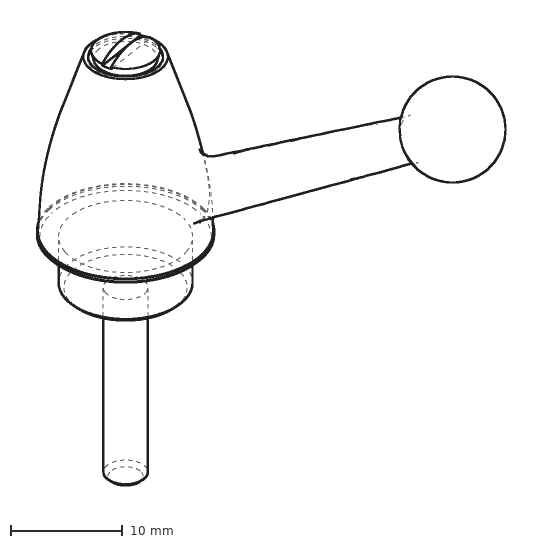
import cadquery as cq
import math

stud_diameter = 4.0
stud_length = 20.0
stud_chamfer = 0.45
collar_diameter = 12.0
collar_height = 5.4
collar_chamfer = 0.5

rim_radius = 7.95
rim_height = 0.55
rim_chamfer = 0.25
wall_base_radius = 7.85
wall_bend_radius = 5.9
wall_top_radius = 3.8
hub_bottom = stud_length + collar_height
hub_wall_base = hub_bottom + rim_height
hub_bend = 38.05
hub_top = 44.45

recess_radius = 3.35
recess_depth = 0.2
screw_shank_radius = 2.85
screw_edge_radius = 3.1
screw_edge_top = 45.1
screw_dome_height = 0.9
slot_width = 0.95
slot_depth = 1.15

ball_radius = 4.75
ball_x = 35.2
ball_z = 54 - ball_radius
arm_angle = 30.6
arm_inner_distance = 39.95
arm_base_distance = 30.25
arm_tip_distance = 4.3
arm_base_half_width = 2.95
arm_base_half_height = 2.65
arm_tip_half_width = 2.6
arm_tip_half_height = 2.05
hub_blend_radius = 2.0
ball_blend_radius = 1.0


def make_stud():
    stud = cq.Workplane("XY").circle(stud_diameter / 2).extrude(hub_bottom)
    return stud.faces("<Z").chamfer(stud_chamfer)


def make_collar():
    collar = cq.Workplane("XY", origin=(0, 0, stud_length)).circle(collar_diameter / 2)
    return collar.extrude(collar_height).faces("<Z").chamfer(collar_chamfer)


def make_hub():
    taper_slope = (wall_bend_radius - wall_top_radius) / (hub_top - hub_bend)
    outline = (
        cq.Workplane("XZ")
        .moveTo(0, hub_bottom)
        .lineTo(rim_radius - rim_chamfer, hub_bottom)
        .lineTo(rim_radius, hub_bottom + rim_chamfer)
        .lineTo(rim_radius, hub_wall_base)
        .lineTo(wall_base_radius, hub_wall_base)
        .spline(
            [(wall_bend_radius, hub_bend), (wall_top_radius, hub_top)],
            tangents=[(0, 1), (-taper_slope, 1)],
            includeCurrent=True,
        )
        .lineTo(0, hub_top)
        .close()
    )
    return outline.revolve(360, (0, 0, 0), (0, 1, 0))


def make_arm_and_ball():
    ball_center = cq.Vector(ball_x, 0, ball_z)
    angle = math.radians(arm_angle)
    toward_ball = cq.Vector(math.cos(angle), 0, math.sin(angle))
    taper_length = arm_base_distance - arm_tip_distance

    def section(distance):
        growth = (distance - arm_tip_distance) / taper_length
        half_width = arm_tip_half_width + growth * (arm_base_half_width - arm_tip_half_width)
        half_height = arm_tip_half_height + growth * (arm_base_half_height - arm_tip_half_height)
        plane = cq.Plane(ball_center - toward_ball * distance, xDir=(0, 1, 0), normal=toward_ball)
        return cq.Workplane(plane).ellipse(half_width, half_height).wires().val()

    arm = cq.Solid.makeLoft([section(arm_inner_distance), section(0)], True)
    ball = cq.Workplane("XY").sphere(ball_radius).translate(ball_center)
    return cq.Workplane(arm), ball


def make_screw():
    dome_top = screw_edge_top + screw_dome_height
    sphere_radius = (screw_edge_radius**2 + screw_dome_height**2) / (2 * screw_dome_height)
    mid_angle = math.asin(screw_edge_radius / sphere_radius) / 2
    mid_radius = sphere_radius * math.sin(mid_angle)
    mid_height = dome_top - sphere_radius * (1 - math.cos(mid_angle))
    screw = (
        cq.Workplane("XZ")
        .moveTo(0, hub_top - recess_depth)
        .lineTo(screw_shank_radius, hub_top - recess_depth)
        .lineTo(screw_edge_radius, screw_edge_top)
        .threePointArc((mid_radius, mid_height), (0, dome_top))
        .close()
        .revolve(360, (0, 0, 0), (0, 1, 0))
    )
    slot = cq.Workplane("XY").box(slot_width, 2 * rim_radius, 2 * slot_depth)
    return screw.cut(slot.translate((0, 0, dome_top)))


def is_joint(edge, low, high):
    return low < edge.Center().x < high


arm, ball = make_arm_and_ball()
body = make_hub().union(arm).union(ball)

joint_edges = body.edges().vals()
hub_joint = [e for e in joint_edges if is_joint(e, rim_radius / 2, 2 * rim_radius)]
body = body.newObject(hub_joint).fillet(hub_blend_radius)

joint_edges = body.edges().vals()
ball_joint = [e for e in joint_edges if is_joint(e, ball_x - ball_radius, ball_x - ball_radius / 2)]
body = body.newObject(ball_joint).fillet(ball_blend_radius)

recess = cq.Workplane("XY", origin=(0, 0, hub_top - recess_depth))
body = body.cut(recess.circle(recess_radius).extrude(recess_depth))

result = body.union(make_collar()).union(make_stud()).union(make_screw())